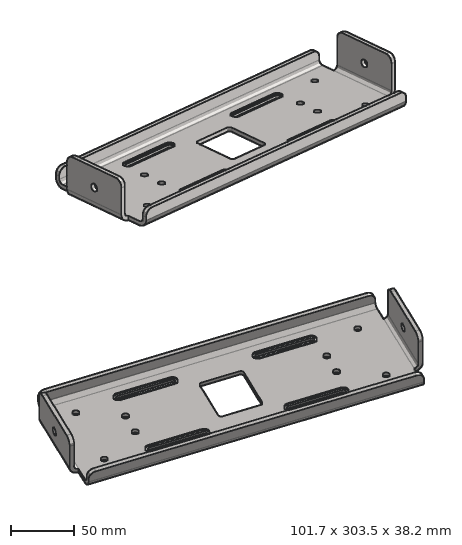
import cadquery as cq

total_length = 303.5
total_width = 101.7
total_height = 38.2

thickness = 4.0
bend_radius = 7.5
corner_radius = 6.5

flange_height = 16.7
flange_length = total_length - 2 * bend_radius

tab_width = 61.3
tab_hole_diameter = 6.7
tab_hole_height = 20.3

corner_hole = (5.5, 28.5, 121.0)
inner_hole = (5.8, 9.7, 86.5)

slot_x = 32.0
slot_y = 59.8
slot_centre_distance = 46.0
slot_width = 4.5
slot_recess_width = 8.5
slot_recess_depth = 1.2

window_width = 41.5
window_length = 37.5
window_corner_radius = 2.5


def bent_channel(plane, span, height, length):
    """U-shaped sheet with rounded bends, centred on the plane and open upwards."""
    along, across = ("|Y", "|X") if plane == "XZ" else ("|X", "|Y")

    def block(width, floor, fillet):
        """Bar from the floor to the full height, with rounded lower edges."""
        return (
            cq.Workplane(plane)
            .center(0, (floor + height) / 2)
            .rect(width, height - floor)
            .extrude(length / 2, both=True)
            .edges(along)
            .edges("<Z")
            .fillet(fillet)
        )

    outside = block(span, 0, bend_radius)
    inside = block(span - 2 * thickness, thickness, bend_radius - thickness)
    return outside.cut(inside).edges(across).edges(">Z").fillet(corner_radius)


def mirrored_points(x, y):
    """The four positions symmetric about both centre lines."""
    return [(side * x, end * y) for side in (-1, 1) for end in (-1, 1)]


def base_holes(diameter, x, y):
    """Cutters for four round holes through the base."""
    return cq.Workplane("XY").pushPoints(mirrored_points(x, y)).circle(diameter / 2).extrude(thickness)


def slots(width, floor):
    """Cutters for the four slots, from the given floor to the top of the base."""
    return (
        cq.Workplane("XY", origin=(0, 0, floor))
        .pushPoints(mirrored_points(slot_x, slot_y))
        .slot2D(slot_centre_distance + width, width, 90)
        .extrude(thickness - floor)
    )


flanged_base = bent_channel("XZ", total_width, flange_height, flange_length)
tabbed_base = bent_channel("YZ", total_length, total_height, tab_width)
body = flanged_base.union(tabbed_base)

window = (
    cq.Workplane("XY")
    .rect(window_width, window_length)
    .extrude(thickness)
    .edges("|Z")
    .fillet(window_corner_radius)
)

tab_holes = (
    cq.Workplane("XZ")
    .center(0, tab_hole_height)
    .circle(tab_hole_diameter / 2)
    .extrude(total_length / 2, both=True)
)

result = (
    body.cut(window)
    .cut(tab_holes)
    .cut(base_holes(*corner_hole))
    .cut(base_holes(*inner_hole))
    .cut(slots(slot_width, 0))
    .cut(slots(slot_recess_width, thickness - slot_recess_depth))
)